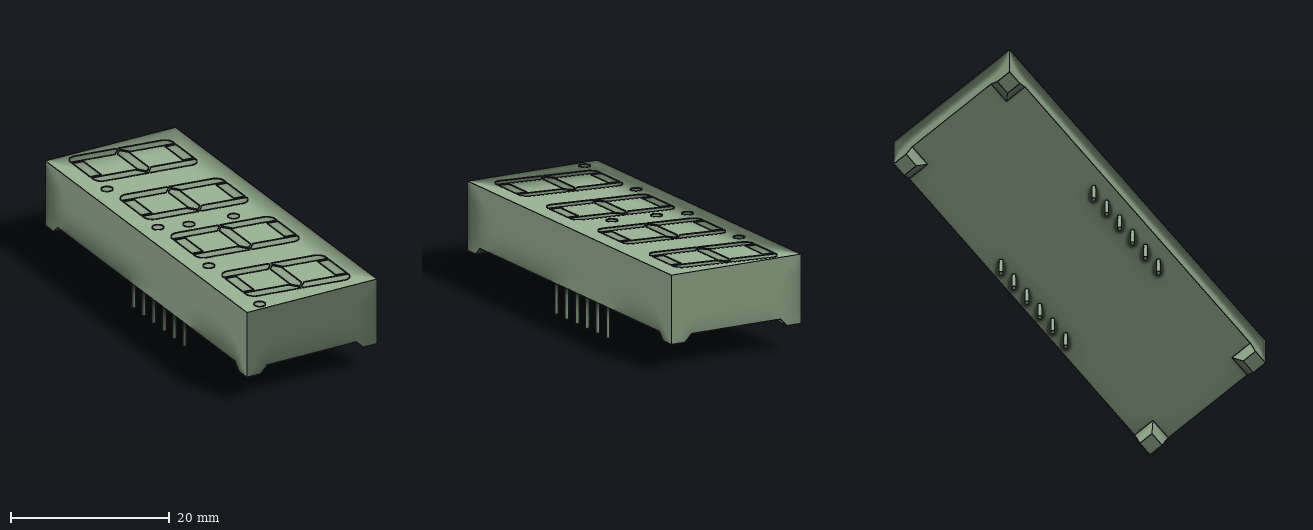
import cadquery as cq
import math


length = 50.3
width = 19.0
total_height = 13.1
recess_depth = 0.1

foot_height = 1.0
foot_tip = 2.0
foot_root = foot_tip + foot_height

pin_diameter = 0.5
pin_length = 5.0
pin_pitch = 2.54
pins_per_row = 6
pin_row_spacing = 15.25

body_height = total_height - pin_length
recess_floor = body_height - recess_depth

digit_count = 4
digit_pitch = 12.7
digit_width = 8.1
digit_height = 14.05
digit_row_x = -0.6
digit_row_y = 0.1
slant = math.tan(math.radians(8))
stroke = 1.5
segment_gap = 0.3
corner_radius = 1.2
bar_tip_inset = 0.6

dot_diameter = 1.5
point_offset_x = 5.35
point_y = -6.85
colon_half_spacing = 3.0

half_width = digit_width / 2
half_height = digit_height / 2
inner_x = half_width - stroke
bar_tip_x = half_width - bar_tip_inset


def lean(points):
    """Shear upright digit points to the right in proportion to height."""
    return [(x + slant * y, y) for x, y in points]


def sunken(points):
    """Tool cutting a leaning outline, on the digit's own origin."""
    return cq.Workplane("XY").polyline(lean(points)).close().extrude(recess_depth)


def upright_segment(side, end):
    """Side stroke: side is -1 left or 1 right, end is -1 lower or 1 upper."""
    bar_slope = (stroke / 2) / (bar_tip_x - inner_x)
    notch_x = bar_tip_x + (segment_gap / 2) / bar_slope
    outline = [
        (half_width, half_height),
        (half_width, segment_gap / 2),
        (notch_x, segment_gap / 2),
        (inner_x, stroke / 2 + segment_gap),
        (inner_x, half_height),
    ]
    segment = sunken([(side * x, end * y) for x, y in outline])
    corner = lean([(side * half_width, end * half_height)])[0]
    corner_edge = cq.selectors.NearestToPointSelector((*corner, recess_depth / 2))
    return segment.edges("|Z").edges(corner_edge).fillet(corner_radius)


def end_bar(end):
    """Horizontal stroke at the top (end = 1) or bottom (end = -1)."""
    bar_x = inner_x - segment_gap
    outer_y = end * half_height
    inner_y = end * (half_height - stroke)
    return sunken([(-bar_x, outer_y), (bar_x, outer_y), (bar_x, inner_y), (-bar_x, inner_y)])


def middle_bar():
    """Horizontal centre stroke, pointed at both ends."""
    edge_y = stroke / 2
    return sunken([
        (-bar_tip_x, 0),
        (-inner_x, edge_y),
        (inner_x, edge_y),
        (bar_tip_x, 0),
        (inner_x, -edge_y),
        (-inner_x, -edge_y),
    ])


def digit_segments():
    """Cutting tools for the seven segments of one digit."""
    segments = [middle_bar()]
    for end in (-1, 1):
        segments.append(end_bar(end))
        for side in (-1, 1):
            segments.append(upright_segment(side, end))
    return segments


def dots(centres):
    """Cutting tools for round dots at the given places on the face."""
    return (
        cq.Workplane("XY", origin=(0, 0, recess_floor))
        .pushPoints(centres)
        .circle(dot_diameter / 2)
        .extrude(recess_depth)
    )


def foot():
    """Foot at the +X +Y corner, its two inner flanks sloping."""
    def profile(plane, half_span):
        return (
            cq.Workplane(plane)
            .polyline([
                (half_span, 0),
                (half_span, -foot_height),
                (half_span - foot_tip, -foot_height),
                (half_span - foot_root, 0),
            ])
            .close()
            .extrude(length, both=True)
        )
    return profile("XZ", length / 2).intersect(profile("YZ", width / 2))


def pins():
    return (
        cq.Workplane("XY")
        .rarray(pin_pitch, pin_row_spacing, pins_per_row, 2)
        .circle(pin_diameter / 2)
        .extrude(-pin_length)
    )


result = cq.Workplane("XY").box(length, width, body_height, centered=(True, True, False))
corner_foot = foot()
mirrored_foot = corner_foot.mirror("YZ")
for part in (corner_foot, mirrored_foot, corner_foot.mirror("XZ"), mirrored_foot.mirror("XZ")):
    result = result.union(part, clean=False)
result = result.union(pins(), clean=False)

digit_centres = [
    (digit_row_x + (i - (digit_count - 1) / 2) * digit_pitch, digit_row_y)
    for i in range(digit_count)
]
for centre_x, centre_y in digit_centres:
    for segment in digit_segments():
        result = result.cut(segment.translate((centre_x, centre_y, recess_floor)), clean=False)

decimal_points = [(x + point_offset_x, point_y) for x, _ in digit_centres]
colon = lean([(0, -colon_half_spacing), (0, colon_half_spacing)])
result = result.cut(dots(decimal_points + colon), clean=False)